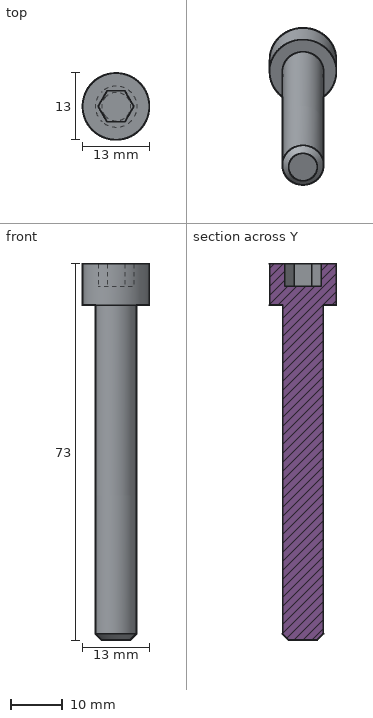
import cadquery as cq
import math

total_length = 73.0
head_diameter = 13.0
head_height = 8.0
shank_diameter = 8.0
thread_length = 28.0
tip_diameter = 5.55
tip_height = 1.25
socket_across_flats = 6.0
socket_depth = 4.4

shank_length = total_length - head_height
socket_across_corners = socket_across_flats / math.cos(math.pi / 6)


def cylinder(diameter, bottom, top):
    """Upright cylinder on the screw axis between two heights."""
    return cq.Workplane("XY").workplane(offset=bottom).circle(diameter / 2).extrude(top - bottom)


tip_inset = (shank_diameter - tip_diameter) / 2
threaded_end = cylinder(shank_diameter, 0, thread_length).faces("<Z").chamfer(tip_height, tip_inset)

plain_shank = cylinder(shank_diameter, thread_length, shank_length)
head = cylinder(head_diameter, shank_length, total_length)
body = threaded_end.union(plain_shank, clean=False).union(head, clean=False)

socket = (
    cq.Workplane("XY")
    .workplane(offset=total_length - socket_depth)
    .polygon(6, socket_across_corners)
    .extrude(socket_depth)
)

result = body.cut(socket, clean=False)